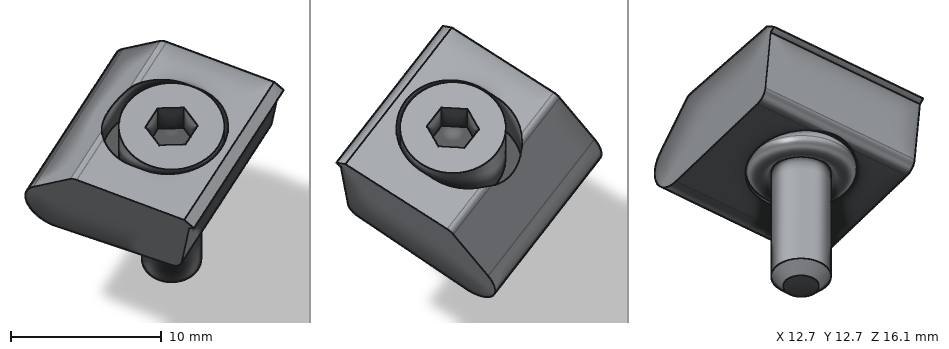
import cadquery as cq
import math


JAW_WIDTH = 12.7
JAW_TOP = 16.08
JAW_BOTTOM = 8.86
JAW_BACK_X = -7.64
HEEL_RADIUS = 2.0
SLOPE_ANGLE = 45.0
TOP_ANGLE = 5.6
UNDERSIDE_ANGLE = 8.8
FRONT_ANGLE = 7.5
PEAK_X = 4.34
TIP_X, TIP_Z = 5.07, 15.61
NOTCH_X, NOTCH_Z = 4.71, 15.34
SHOULDER_RADIUS = 0.8
TOE_RADIUS = 1.0

SHANK_RADIUS = 2.0
SHANK_CHAMFER = 0.8
HEAD_RADIUS = 3.5
HEAD_HEIGHT = 4.0
HEAD_TOP = 16.02
SOCKET_FLATS = 3.0
SOCKET_DEPTH = 2.41

POCKET_RADIUS = 3.76
POCKET_TRAVEL = 1.0

RING_RADIUS = 3.7
RING_SECTION_RADIUS = 0.9

HEAD_BOTTOM = HEAD_TOP - HEAD_HEIGHT
RING_Z = JAW_BOTTOM + RING_SECTION_RADIUS
RING_TOP = RING_Z + RING_SECTION_RADIUS


def line_crossing(point_a, angle_a, point_b, angle_b):
    """Crossing of two lines, each given by a point and an angle in degrees."""
    ax, az = math.cos(math.radians(angle_a)), math.sin(math.radians(angle_a))
    bx, bz = math.cos(math.radians(angle_b)), math.sin(math.radians(angle_b))
    dx, dz = point_b[0] - point_a[0], point_b[1] - point_a[1]
    distance = (dx * bz - dz * bx) / (ax * bz - az * bx)
    return point_a[0] + distance * ax, point_a[1] + distance * az


def heel_point(angle):
    """Point on the heel round at an angle in degrees from +X."""
    turn = math.radians(angle)
    return (JAW_BACK_X + HEEL_RADIUS * (1 + math.cos(turn)),
            JAW_BOTTOM + HEEL_RADIUS * (1 + math.sin(turn)))


def disc(radius, bottom, top):
    """Upright cylinder on the screw axis."""
    return cq.Workplane("XY").workplane(offset=bottom).circle(radius).extrude(top - bottom)


def jaw_blank():
    """Jaw profile extruded across the width, with its shoulder and toe rounded."""
    peak = (PEAK_X, JAW_TOP)
    notch = (NOTCH_X, NOTCH_Z)
    heel_top = heel_point(90 + SLOPE_ANGLE)
    heel_bottom = heel_point(UNDERSIDE_ANGLE - 90)
    shoulder = line_crossing(heel_top, SLOPE_ANGLE, peak, TOP_ANGLE)
    toe = line_crossing(heel_bottom, UNDERSIDE_ANGLE, notch, 90 - FRONT_ANGLE)
    blank = (
        cq.Workplane("XZ")
        .moveTo(*heel_top)
        .lineTo(*shoulder)
        .lineTo(*peak)
        .lineTo(TIP_X, TIP_Z)
        .lineTo(*notch)
        .lineTo(*toe)
        .lineTo(*heel_bottom)
        .threePointArc(heel_point(180), heel_top)
        .close()
        .extrude(JAW_WIDTH / 2, both=True)
    )
    for corner, radius in ((shoulder, SHOULDER_RADIUS), (toe, TOE_RADIUS)):
        edge = cq.selectors.NearestToPointSelector((corner[0], 0, corner[1]))
        blank = blank.edges("|Y").edges(edge).fillet(radius)
    return blank


def make_jaw():
    """Jaw with its head pocket, shank hole and ring recess."""
    pocket = (
        cq.Workplane("XY")
        .workplane(offset=HEAD_BOTTOM)
        .center(-POCKET_TRAVEL / 2, 0)
        .slot2D(POCKET_TRAVEL + 2 * POCKET_RADIUS, 2 * POCKET_RADIUS)
        .extrude(JAW_TOP - HEAD_BOTTOM)
    )
    shank_hole = disc(SHANK_RADIUS, 0, JAW_TOP)
    ring_recess = disc(RING_RADIUS, 0, RING_TOP)
    return jaw_blank().cut(pocket).cut(shank_hole).cut(ring_recess)


def make_screw():
    """Socket head cap screw with a chamfered tip."""
    shank = disc(SHANK_RADIUS, 0, HEAD_BOTTOM).faces("<Z").chamfer(SHANK_CHAMFER)
    head = disc(HEAD_RADIUS, HEAD_BOTTOM, HEAD_TOP)
    hexagon_diameter = SOCKET_FLATS / math.cos(math.pi / 6)
    socket = (
        cq.Workplane("XY")
        .workplane(offset=HEAD_TOP - SOCKET_DEPTH)
        .transformed(rotate=(0, 0, 30))
        .polygon(6, hexagon_diameter)
        .extrude(SOCKET_DEPTH)
    )
    return shank.union(head).cut(socket)


def make_ring():
    """Round-section ring whose bore fits the shank."""
    torus = cq.Solid.makeTorus(
        RING_RADIUS - RING_SECTION_RADIUS, RING_SECTION_RADIUS, cq.Vector(0, 0, RING_Z)
    )
    return cq.Workplane(torus).cut(disc(SHANK_RADIUS, JAW_BOTTOM, RING_TOP))


jaw = make_jaw()
screw = make_screw()
ring = make_ring()

result = cq.Compound.makeCompound([body.solids().val() for body in (jaw, screw, ring)])